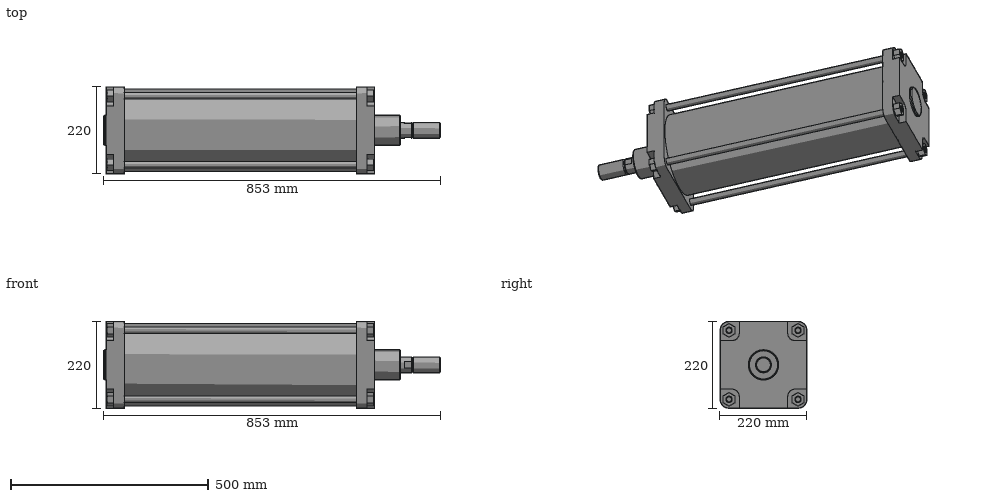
import cadquery as cq
import math

overall_length = 853.0
cover_size = 220.0
cover_thickness = 46.0
rear_boss_length = 6.0
front_cover_end = 687.0
collar_end = 752.0

rear_cover_inner = rear_boss_length + cover_thickness
front_cover_inner = front_cover_end - cover_thickness

cover_corner_radius = 22.0
pocket_size = 49.0
pocket_depth = 19.0
pocket_radius = 19.0
boss_diameter = 77.0
boss_chamfer = 2.5

barrel_diameter = 210.0

tie_rod_spacing = 175.0
tie_rod_diameter = 17.0
nut_across_flats = 30.0
nut_recess = 2.5
nut_length = pocket_depth - nut_recess
nut_across_corners = nut_across_flats * 2 / math.sqrt(3)
bore_diameter = 13.0
bore_depth = 13.0
bore_chamfer = 2.0

piston_rod_diameter = 40.0
flats_start = 762.0
flats_end = 780.0
flats_across = 37.0
end_chamfer = 2.5



def cylinder(diameter, start, end, y=0.0, z=0.0):
    """Round bar parallel to X, from x = start to x = end."""
    plane = cq.Workplane("YZ", origin=(start, y, z))
    return plane.circle(diameter / 2).extrude(end - start)


def corner_pockets(start):
    """Four round-cornered pockets for the nuts, one at each cover corner."""
    block_size = 2 * pocket_size
    return (
        cq.Workplane("YZ", origin=(start, 0, 0))
        .rect(cover_size, cover_size, forConstruction=True)
        .vertices()
        .rect(block_size, block_size)
        .extrude(pocket_depth)
        .edges("|X")
        .fillet(pocket_radius)
    )


def cover_plate(start, pocket_start):
    """Square end plate with rounded corners, nut pockets and tie rod holes."""
    plate = (
        cq.Workplane("YZ", origin=(start, 0, 0))
        .rect(cover_size, cover_size)
        .extrude(cover_thickness)
        .edges("|X")
        .fillet(cover_corner_radius)
    )
    tie_rod_holes = (
        cq.Workplane("YZ", origin=(start, 0, 0))
        .rect(tie_rod_spacing, tie_rod_spacing, forConstruction=True)
        .vertices()
        .circle(tie_rod_diameter / 2)
        .extrude(cover_thickness)
    )
    return plate.cut(corner_pockets(pocket_start)).cut(tie_rod_holes)


def make_rear_cover():
    boss = cylinder(boss_diameter, 0, rear_boss_length).faces("<X").chamfer(boss_chamfer)
    return cover_plate(rear_boss_length, rear_boss_length).union(boss)


def make_front_cover():
    collar = cylinder(boss_diameter, front_cover_end, collar_end).faces(">X").chamfer(boss_chamfer)
    return cover_plate(front_cover_inner, front_cover_end - pocket_depth).union(collar)


def make_barrel():
    return cylinder(barrel_diameter, rear_cover_inner, front_cover_inner)


def hexagon_nut(start, y, z):
    """Hexagon nut with two flats square to Y."""
    return (
        cq.Workplane("YZ", origin=(start, y, z))
        .transformed(rotate=(0, 0, 90))
        .polygon(6, nut_across_corners)
        .extrude(nut_length)
    )


def make_tie_rod(y, z):
    """Tie rod joined to its two end nuts, with a chamfered bore in each end."""
    rear_end = rear_boss_length + nut_recess
    front_end = front_cover_end - nut_recess
    tie_rod = (
        cylinder(tie_rod_diameter, rear_end, front_end, y, z)
        .union(hexagon_nut(rear_end, y, z))
        .union(hexagon_nut(front_end - nut_length, y, z))
    )
    tie_rod = tie_rod.cut(cylinder(bore_diameter, rear_end, rear_end + bore_depth, y, z))
    tie_rod = tie_rod.cut(cylinder(bore_diameter, front_end - bore_depth, front_end, y, z))
    return tie_rod.faces("<X or >X").edges("%CIRCLE").chamfer(bore_chamfer)


def make_piston_rod():
    """Rod end with two wrench flats, a V-groove and a chamfered thread length."""
    groove_center = flats_end + end_chamfer
    shank = cylinder(piston_rod_diameter, collar_end, groove_center).faces(">X").chamfer(end_chamfer)
    thread = cylinder(piston_rod_diameter, groove_center, overall_length)
    thread = thread.faces("<X or >X").chamfer(end_chamfer)
    block_offset = (flats_across + piston_rod_diameter) / 2
    side_blocks = (
        cq.Workplane("YZ", origin=(flats_start, 0, 0))
        .pushPoints([(-block_offset, 0), (block_offset, 0)])
        .rect(piston_rod_diameter, piston_rod_diameter)
        .extrude(flats_end - flats_start)
    )
    return shank.cut(side_blocks).union(thread)


rear_cover = make_rear_cover()
front_cover = make_front_cover()
barrel = make_barrel()
piston_rod = make_piston_rod()

half_spacing = tie_rod_spacing / 2
tie_rods = [
    make_tie_rod(y, z)
    for y in (-half_spacing, half_spacing)
    for z in (-half_spacing, half_spacing)
]

result = cq.Compound.makeCompound(
    [
        rear_cover.val(),
        front_cover.val(),
        barrel.val(),
        piston_rod.val(),
        *[tie_rod.val() for tie_rod in tie_rods],
    ]
)